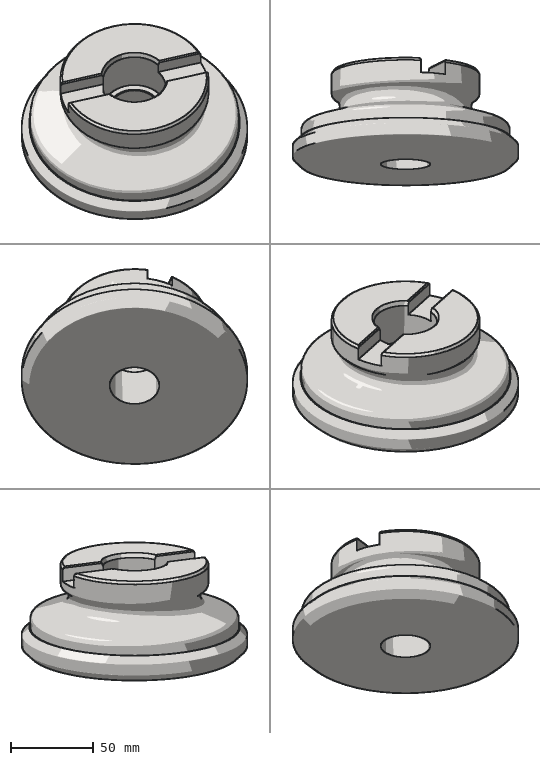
import cadquery as cq
import math

flange_radius = 68.5
height = 57.2

base_radius = 63.9
base_chamfer_top = 4.5
flange_top = 11.5
step_radius = 126.8 / 2
step_bottom = 15.8
step_ledge = 0.5
step_top = 21.1
shoulder_radius = 3.8
edge_round = 0.4

cone_angle = math.radians(17.7)
neck_radius = 40.0
neck_round = 6.0

hub_radius = 90.0 / 2
hub_round = 3.4
hub_rim_chamfer = 1.2
hub_rim_chamfer_depth = 1.8

bore_radius = 38.1 / 2
bore_depth = 28.1
bore_chamfer = 1.2
bore_chamfer_depth = 2.7
hole_radius = 30.0 / 2
hole_chamfer = 0.4
slot_width = 15.9
slot_depth = 9.2
slot_chamfer = 0.8


def arc_point(center, radius, angle):
    """Point on a circle in the radius-height plane; angle counts from outward."""
    return (center[0] + radius * math.cos(angle), center[1] + radius * math.sin(angle))


def rounded_stretch(outline, center, radius, start, end):
    """Run a line to the start of an arc, then follow the arc to its end."""
    middle = (start + end) / 2
    return outline.lineTo(*arc_point(center, radius, start)).threePointArc(
        arc_point(center, radius, middle), arc_point(center, radius, end)
    )


def make_body():
    """Revolved outer shape, solid through the axis."""
    quarter = math.pi / 2
    shoulder_center = (step_radius - shoulder_radius, step_top)
    cone_start = arc_point(shoulder_center, shoulder_radius, quarter - cone_angle)

    neck_center_r = neck_radius + neck_round
    cone_end_r = neck_center_r - neck_round * math.sin(cone_angle)
    cone_end_z = cone_start[1] + (cone_start[0] - cone_end_r) * math.tan(cone_angle)
    neck_center = (neck_center_r, cone_end_z + neck_round * math.cos(cone_angle))

    lip_center_r = hub_radius - hub_round
    lip_angle = math.asin((neck_center_r - lip_center_r) / (neck_round + hub_round))
    lip_center = (lip_center_r, neck_center[1] + (neck_round + hub_round) * math.cos(lip_angle))

    outline = (
        cq.Workplane("XZ")
        .lineTo(base_radius, 0)
        .lineTo(flange_radius, base_chamfer_top)
        .lineTo(flange_radius, flange_top)
        .lineTo(step_radius + step_ledge, step_bottom)
        .lineTo(step_radius, step_bottom)
    )
    outline = rounded_stretch(outline, shoulder_center, shoulder_radius, 0, quarter - cone_angle)
    outline = rounded_stretch(
        outline, neck_center, neck_round, 3 * quarter - cone_angle, quarter + lip_angle
    )
    outline = outline.threePointArc(
        arc_point(lip_center, hub_round, (lip_angle - quarter) / 2),
        arc_point(lip_center, hub_round, 0),
    )
    outline = outline.lineTo(hub_radius, height - hub_rim_chamfer_depth)
    outline = outline.lineTo(hub_radius - hub_rim_chamfer, height)
    body = outline.lineTo(0, height).close().revolve(360, (0, 0, 0), (0, 1, 0))

    for radius, level in (
        (base_radius, 0),
        (flange_radius, base_chamfer_top),
        (flange_radius, flange_top),
    ):
        edge = cq.selectors.BoxSelector(
            (-radius - 1.4, -radius - 1.4, level - edge_round),
            (radius + 1.4, radius + 1.4, level + edge_round),
            boundingbox=True,
        )
        body = body.edges(edge).edges("%CIRCLE").fillet(edge_round)
    return body


def make_bore():
    """Stepped bore with chamfered mouth and chamfered through hole."""
    seat = height - bore_depth
    return (
        cq.Workplane("XZ")
        .lineTo(hole_radius, 0)
        .lineTo(hole_radius, seat - hole_chamfer)
        .lineTo(hole_radius + hole_chamfer, seat)
        .lineTo(bore_radius, seat)
        .lineTo(bore_radius, height - bore_chamfer_depth)
        .lineTo(bore_radius + bore_chamfer, height)
        .lineTo(0, height)
        .close()
        .revolve(360, (0, 0, 0), (0, 1, 0))
    )


def make_slot():
    """Drive slot across the hub along Y, with chamfered top edges."""
    half = slot_width / 2
    floor = height - slot_depth
    return (
        cq.Workplane("XZ")
        .polyline([
            (-half, floor),
            (half, floor),
            (half, height - slot_chamfer),
            (half + slot_chamfer, height),
            (-half - slot_chamfer, height),
            (-half, height - slot_chamfer),
        ])
        .close()
        .extrude(flange_radius, both=True)
    )


result = make_body().cut(make_bore()).cut(make_slot())